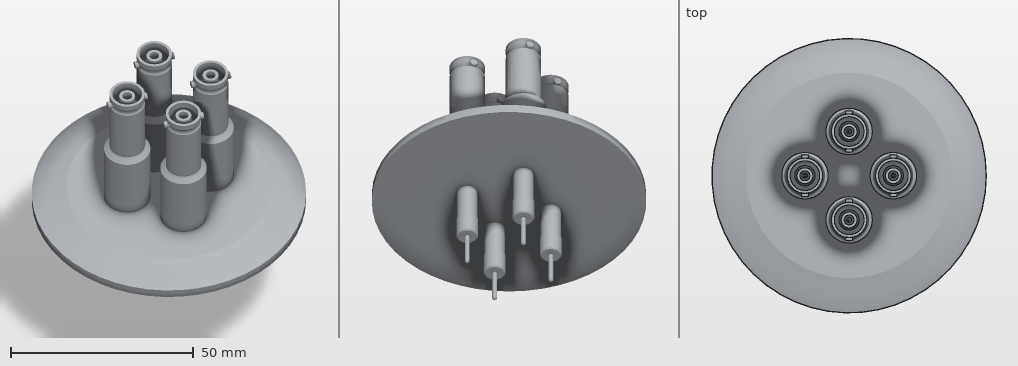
import cadquery as cq


flange_radius = 37.5
flange_thickness = 5.2
rim_thickness = 2.55
flat_radius = 28.0

connector_offset = 12.1

body_diameter = 12.7
shell_diameter = 9.7
body_radius = body_diameter / 2
shoulder_bottom = 23.8
shell_radius = shell_diameter / 2
shoulder_top = shoulder_bottom + body_radius - shell_radius
shell_top = 45.0

groove_top = shell_top - 1.65
groove_width = 1.95
groove_depth = 0.4
groove_bottom = groove_top - groove_width
groove_middle = groove_top - groove_width / 2
ear_radius = groove_width / 2
ear_span = 11.3

socket_radius = 4.05
socket_floor = shell_top - 6.0
sleeve_radius = 2.2
sleeve_hole_radius = 1.35
sleeve_top = shell_top - 0.75
sleeve_base_radius = 2.8
sleeve_base_height = sleeve_base_radius - sleeve_radius
contact_top = sleeve_top - 1.9

stem_radius = 2.8
collar_radius = 3.0
collar_top = -10.1
collar_bottom = -15.95
collar_chamfer = 0.4
pin_radius = 0.7
pin_bottom = -25.3
pin_chamfer = 0.4


def make_flange():
    """Disc with a straight rim and a shallow bevel up to the flat top."""
    return (
        cq.Workplane("XZ")
        .moveTo(0, 0)
        .lineTo(flange_radius, 0)
        .lineTo(flange_radius, rim_thickness)
        .lineTo(flat_radius, flange_thickness)
        .lineTo(0, flange_thickness)
        .close()
        .revolve(360, (0, 0), (0, 1))
    )


def cylinder(radius, bottom, top):
    """Cylinder on the Z axis between two heights."""
    return cq.Workplane("XY").workplane(offset=bottom).circle(radius).extrude(top - bottom)


def make_shell():
    """Shouldered, grooved body with its bayonet ears and open socket."""
    shell = (
        cq.Workplane("XZ")
        .moveTo(0, 0)
        .lineTo(body_radius, 0)
        .lineTo(body_radius, shoulder_bottom)
        .lineTo(shell_radius, shoulder_top)
        .lineTo(shell_radius, groove_bottom)
        .threePointArc((shell_radius - groove_depth, groove_middle), (shell_radius, groove_top))
        .lineTo(shell_radius, shell_top)
        .lineTo(0, shell_top)
        .close()
        .revolve(360, (0, 0), (0, 1))
    )
    ears = (
        cq.Workplane("XZ")
        .center(0, groove_middle)
        .circle(ear_radius)
        .extrude(ear_span / 2, both=True)
    )
    return shell.union(ears).cut(cylinder(socket_radius, socket_floor, shell_top))


def make_sleeve():
    """Hollow insulator sleeve, flared where it meets the socket floor."""
    return (
        cq.Workplane("XZ")
        .moveTo(sleeve_hole_radius, socket_floor)
        .lineTo(sleeve_base_radius, socket_floor)
        .lineTo(sleeve_radius, socket_floor + sleeve_base_height)
        .lineTo(sleeve_radius, sleeve_top)
        .lineTo(sleeve_hole_radius, sleeve_top)
        .close()
        .revolve(360, (0, 0), (0, 1))
    )


def make_connector():
    """Complete feedthrough standing on the Z axis."""
    stem = cylinder(stem_radius, collar_top, 0)
    collar = cylinder(collar_radius, collar_bottom, collar_top).faces("<Z").chamfer(collar_chamfer)
    pin = cylinder(pin_radius, pin_bottom, contact_top).faces("<Z or >Z").chamfer(pin_chamfer)
    return make_shell().union(make_sleeve()).union(stem).union(collar).union(pin)


result = make_flange()
connector = make_connector()
for x_direction, y_direction in [(1, 0), (0, 1), (-1, 0), (0, -1)]:
    position = (x_direction * connector_offset, y_direction * connector_offset, 0)
    result = result.union(connector.translate(position))